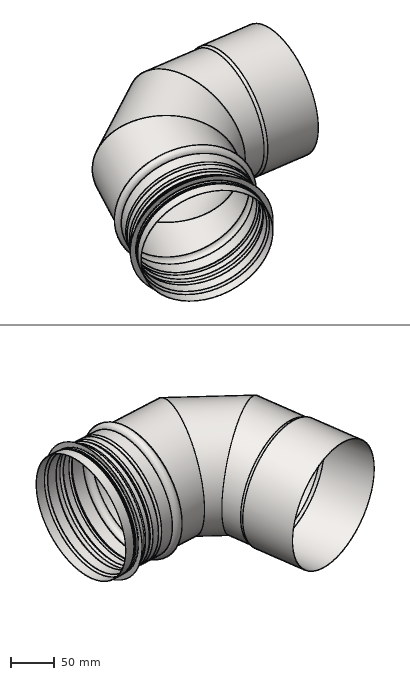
import cadquery as cq
import math


tube_radius = 161.5 / 2
wall = 0.48
miter_turn = 37.5
middle_length = 74.7
miter_overrun = tube_radius

outlet_length = 128.0
socket_radius = 164.5 / 2
flare_start = 53.7
flare_end = 58.0

inlet_end = 146.0
bead_radius = 173.0 / 2
bead_width = 13.5
bead_center = inlet_end - 77.0
bead_start = bead_center - bead_width / 2
bead_end = bead_center + bead_width / 2

groove_radius = 157.0 / 2
first_groove_start = 54.0
first_groove_bottom = 51.2
first_groove_end = 49.3
second_groove_start = 41.0
second_groove_bottom = 38.8
second_groove_end = 35.5
seat_start = 30.0
seat_floor_start = 28.0
seat_floor_end = 15.3
seat_end = 12.5

gasket_radius = 160.5 / 2
gasket_end = inlet_end - 16.0
lip_radius = 174.5 / 2
lip_root_thickness = 1.3
lip_tip_thickness = 0.3
lip_end = inlet_end - 18.8


def direction(angle):
    """Unit vector in the XY plane, turned by the angle clockwise from -X."""
    return cq.Vector(-math.cos(math.radians(angle)), math.sin(math.radians(angle)), 0)


first_joint = cq.Vector(0, 0, 0)
inlet_axis = cq.Vector(1, 0, 0)
second_joint = first_joint + direction(miter_turn) * middle_length


def revolve_on_axis(profile, start, axis):
    """Revolve a closed profile, drawn as (distance along axis, radius), about the axis."""
    turned = profile.close().revolve(360, (0, 0, 0), (1, 0, 0))
    plane = cq.Plane(origin=start, xDir=axis, normal=(0, 0, 1))
    return cq.Workplane(obj=turned.val().moved(cq.Location(plane)))


def inner_face(outer_points):
    """The outer outline moved inward by the wall thickness and listed backwards."""
    return [(along, radius - wall) for along, radius in reversed(outer_points)]


def sheet_tube(start, axis, outer_points):
    """Thin tube whose outer outline is a list of (distance along axis, radius)."""
    profile = cq.Workplane("XY").polyline(outer_points + inner_face(outer_points))
    return revolve_on_axis(profile, start, axis)


def beyond_miter(joint, angle):
    """Large block on the far side of a miter plane whose normal points along the angle."""
    size = 4 * tube_radius
    plane = cq.Plane(origin=joint, xDir=(0, 0, 1), normal=direction(angle))
    return cq.Workplane(plane).rect(size, size).extrude(size)


past_first_joint = beyond_miter(first_joint, miter_turn / 2)
past_second_joint = beyond_miter(second_joint, 1.5 * miter_turn)


def make_inlet_segment():
    """Straight segment from the coupling bead to the first joint."""
    outline = [(-bead_start, tube_radius), (miter_overrun, tube_radius)]
    tube = sheet_tube(first_joint, direction(0), outline)
    return tube.cut(past_first_joint).solids()


def make_middle_segment():
    """Segment mitered at both ends."""
    outline = [(-miter_overrun, tube_radius), (middle_length + miter_overrun, tube_radius)]
    tube = sheet_tube(first_joint, direction(miter_turn), outline)
    return tube.intersect(past_first_joint).cut(past_second_joint).solids()


def make_outlet_segment():
    """Segment from the second joint that flares into the outlet socket."""
    outline = [
        (-miter_overrun, tube_radius),
        (flare_start, tube_radius),
        (flare_end, socket_radius),
        (outlet_length, socket_radius),
    ]
    tube = sheet_tube(second_joint, direction(2 * miter_turn), outline)
    return tube.intersect(past_second_joint).solids()


def make_coupling():
    """Inlet coupling with its stop bead, two V-grooves and the gasket seat."""
    groove_points = [
        (inlet_end - first_groove_start, tube_radius),
        (inlet_end - first_groove_bottom, groove_radius),
        (inlet_end - first_groove_end, tube_radius),
        (inlet_end - second_groove_start, tube_radius),
        (inlet_end - second_groove_bottom, groove_radius),
        (inlet_end - second_groove_end, tube_radius),
    ]
    seat_points = [
        (inlet_end - seat_start, tube_radius),
        (inlet_end - seat_floor_start, groove_radius),
        (inlet_end - seat_floor_end, groove_radius),
        (inlet_end - seat_end, tube_radius),
    ]
    outer_points = [(bead_end, tube_radius)] + groove_points + seat_points + [(inlet_end, tube_radius)]
    profile = (
        cq.Workplane("XY")
        .moveTo(bead_start, tube_radius)
        .threePointArc((bead_center, bead_radius), (bead_end, tube_radius))
        .polyline(outer_points + inner_face(outer_points))
        .threePointArc((bead_center, bead_radius - wall), (bead_start, tube_radius - wall))
    )
    return revolve_on_axis(profile, first_joint, inlet_axis)


def make_gasket():
    """Ring filling the gasket seat, with a thin sealing lip that tapers outward."""
    profile = cq.Workplane("XY").polyline([
        (inlet_end - seat_floor_start, groove_radius),
        (inlet_end - seat_floor_start, gasket_radius),
        (lip_end - lip_root_thickness, gasket_radius),
        (lip_end - lip_tip_thickness, lip_radius),
        (lip_end, lip_radius),
        (lip_end, gasket_radius),
        (gasket_end, gasket_radius),
        (gasket_end, groove_radius),
    ])
    return revolve_on_axis(profile, first_joint, inlet_axis)


inlet_segment = make_inlet_segment()
middle_segment = make_middle_segment()
outlet_segment = make_outlet_segment()
coupling = make_coupling()
gasket = make_gasket()

result = cq.Compound.makeCompound([
    inlet_segment.val(),
    middle_segment.val(),
    outlet_segment.val(),
    coupling.val(),
    gasket.val(),
])